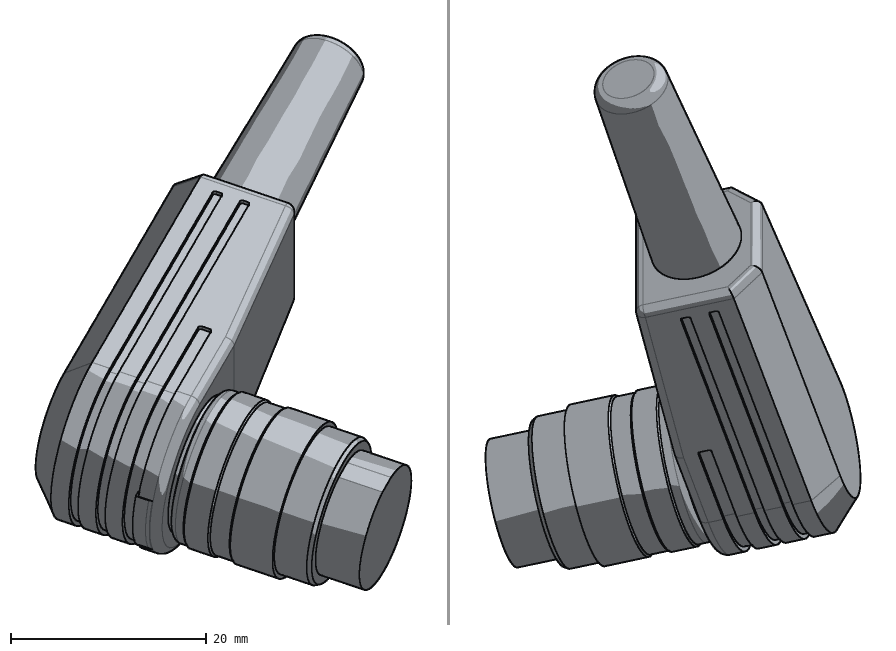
import cadquery as cq
import math


HEAD_DIAMETER = 20.0
HEAD_RADIUS = HEAD_DIAMETER / 2
HOUSING_END_Y = 29.6
HOUSING_END_HALF_HEIGHT = 8.0
HOUSING_WIDTH = 15.0
HOUSING_END_WIDTH = 13.4
TAPER_START_Y = 9.6
BACK_CHAMFER = 3.0
EDGE_ROUND = 0.95

GROOVE_DEPTH = 0.5
GROOVE_CORNER_RADIUS = 0.25
LONG_GROOVE_WIDTH = 1.0
LONG_GROOVE_STARTS = (5.0, 8.05)
LONG_GROOVE_END_Y = 27.5
SHORT_GROOVE_WIDTH = 1.4
SHORT_GROOVE_START = 11.0
SHORT_GROOVE_END_Y = 9.9

LATCH_START_X = 12.15
LATCH_WIDTH = 1.8
LATCH_HEIGHT = 8.0
LATCH_BEVEL_LENGTH = 0.4
LATCH_STANDOUT = 0.05
LATCH_RADIUS = HEAD_RADIUS + LATCH_STANDOUT

NECK_DIAMETER = 14.9
NECK_END_X = 15.5
COLLAR_DIAMETER = 16.6
COLLAR_END_X = 17.05
FIRST_RING_END_X = 20.05
WAIST_END_X = 22.2
SECOND_RING_END_X = 27.05
RING_DIAMETER = 17.0
COLLAR_ROUND = 0.65
RING_CHAMFER = 0.2
BARREL_DIAMETER = 16.0
BARREL_END_X = 31.1
BARREL_CHAMFER_DEPTH = 0.25
BARREL_CHAMFER_LENGTH = 0.45
TIP_DIAMETER = 13.5
TIP_END_X = 36.0

KEY_FLAT_WIDTH = 2.2
KEY_FLAT_OFFSET = 0.4

SLEEVE_X = 6.75
SLEEVE_BASE_DIAMETER = 9.65
SLEEVE_TIP_DIAMETER = 7.7
OVERALL_LENGTH = 64.3
SLEEVE_END_Y = OVERALL_LENGTH - LATCH_RADIUS
SLEEVE_TIP_ROUND = 1.15


def teardrop(radius, end_half_height, start_x, width):
    """Prism of a round head with two tangent lines running to the housing end."""
    end_distance = math.hypot(HOUSING_END_Y, end_half_height)
    tangent_angle = math.atan2(end_half_height, HOUSING_END_Y) + math.acos(radius / end_distance)
    tangent_y = radius * math.cos(tangent_angle)
    tangent_z = radius * math.sin(tangent_angle)
    return (
        cq.Workplane("YZ", origin=(start_x, 0, 0))
        .moveTo(HOUSING_END_Y, -end_half_height)
        .lineTo(HOUSING_END_Y, end_half_height)
        .lineTo(tangent_y, tangent_z)
        .threePointArc((-radius, 0), (tangent_y, -tangent_z))
        .close()
        .extrude(width)
    )


def housing():
    body = teardrop(HEAD_RADIUS, HOUSING_END_HALF_HEIGHT, 0, HOUSING_WIDTH)
    body = body.faces("<X").edges("not >Y").chamfer(BACK_CHAMFER)
    taper_waste = (
        cq.Workplane("XY")
        .moveTo(HOUSING_WIDTH, TAPER_START_Y)
        .lineTo(HOUSING_WIDTH, HOUSING_END_Y)
        .lineTo(HOUSING_END_WIDTH, HOUSING_END_Y)
        .close()
        .extrude(HEAD_RADIUS, both=True)
    )
    body = body.cut(taper_waste)
    front_region = cq.selectors.BoxSelector(
        (HOUSING_END_WIDTH - 0.65, -2 * HEAD_RADIUS, -2 * HEAD_RADIUS),
        (HOUSING_WIDTH + 0.65, HOUSING_END_Y + 0.65, 2 * HEAD_RADIUS),
    )
    body = body.edges(front_region).edges("not |Z").fillet(EDGE_ROUND)
    body = body.faces(">Y").edges().fillet(EDGE_ROUND)
    return body


def groove(start_x, width, end_y):
    """Shallow band that follows the outline and stops at end_y on both flanks."""
    reach = end_y + HEAD_RADIUS
    band = (
        cq.Workplane("XY")
        .center(start_x + width / 2, end_y - reach / 2)
        .rect(width, reach)
        .extrude(HEAD_RADIUS, both=True)
        .edges("|Z and >Y")
        .fillet(GROOVE_CORNER_RADIUS)
    )
    core = teardrop(
        HEAD_RADIUS - GROOVE_DEPTH, HOUSING_END_HALF_HEIGHT - GROOVE_DEPTH, start_x, width
    )
    return band.cut(core)


def latch():
    """Sector of a ring around the plug axis, bevelled down to the head on its plug side."""
    inner_radius = HEAD_RADIUS - 2 * GROOVE_DEPTH
    end_x = LATCH_START_X + LATCH_WIDTH
    ring = (
        cq.Workplane("XY")
        .moveTo(LATCH_START_X, inner_radius)
        .lineTo(LATCH_START_X, LATCH_RADIUS)
        .lineTo(end_x - LATCH_BEVEL_LENGTH, LATCH_RADIUS)
        .lineTo(end_x, HEAD_RADIUS)
        .lineTo(end_x, inner_radius)
        .close()
        .revolve(360, (0, 0, 0), (1, 0, 0))
    )
    sector = (
        cq.Workplane("XY")
        .box(LATCH_WIDTH, 2 * HEAD_RADIUS, LATCH_HEIGHT, centered=(False, False, True))
        .translate((LATCH_START_X, -2 * HEAD_RADIUS, 0))
    )
    return ring.intersect(sector)


def cylinder(diameter, start_x, end_x):
    return cq.Workplane("YZ", origin=(start_x, 0, 0)).circle(diameter / 2).extrude(end_x - start_x)


def plug_tip():
    tip = cylinder(TIP_DIAMETER, BARREL_END_X, TIP_END_X)
    radius = TIP_DIAMETER / 2
    flat_distance = math.sqrt(radius**2 - (KEY_FLAT_WIDTH / 2) ** 2)
    flat_tilt = math.degrees(math.asin(KEY_FLAT_OFFSET / radius))
    flat_waste = (
        cq.Workplane("XY")
        .box(TIP_END_X - BARREL_END_X, TIP_DIAMETER, radius, centered=(False, True, False))
        .translate((BARREL_END_X, 0, flat_distance))
        .rotate((0, 0, 0), (1, 0, 0), -flat_tilt)
    )
    return tip.cut(flat_waste)


def plug():
    collar = cylinder(COLLAR_DIAMETER, NECK_END_X, COLLAR_END_X)
    first_ring = cylinder(RING_DIAMETER, COLLAR_END_X, FIRST_RING_END_X)
    second_ring = cylinder(RING_DIAMETER, WAIST_END_X, SECOND_RING_END_X)
    barrel = cylinder(BARREL_DIAMETER, SECOND_RING_END_X, BARREL_END_X)
    barrel = barrel.faces(">X").chamfer(BARREL_CHAMFER_LENGTH, BARREL_CHAMFER_DEPTH)
    return (
        cylinder(NECK_DIAMETER, HOUSING_WIDTH, NECK_END_X)
        .union(collar.faces("<X").edges().fillet(COLLAR_ROUND))
        .union(first_ring.faces("<X or >X").chamfer(RING_CHAMFER))
        .union(cylinder(COLLAR_DIAMETER, FIRST_RING_END_X, WAIST_END_X))
        .union(second_ring.faces("<X").chamfer(RING_CHAMFER))
        .union(barrel)
        .union(plug_tip())
    )


def sleeve():
    return (
        cq.Workplane("XY", origin=(SLEEVE_X, HOUSING_END_Y, 0))
        .lineTo(SLEEVE_BASE_DIAMETER / 2, 0)
        .lineTo(SLEEVE_TIP_DIAMETER / 2, SLEEVE_END_Y - HOUSING_END_Y)
        .lineTo(0, SLEEVE_END_Y - HOUSING_END_Y)
        .close()
        .revolve(360, (0, 0, 0), (0, 1, 0))
        .faces(">Y")
        .edges()
        .fillet(SLEEVE_TIP_ROUND)
    )


connector = housing()
for groove_start in LONG_GROOVE_STARTS:
    connector = connector.cut(groove(groove_start, LONG_GROOVE_WIDTH, LONG_GROOVE_END_Y))
connector = connector.cut(groove(SHORT_GROOVE_START, SHORT_GROOVE_WIDTH, SHORT_GROOVE_END_Y))

result = connector.union(latch()).union(plug()).union(sleeve())